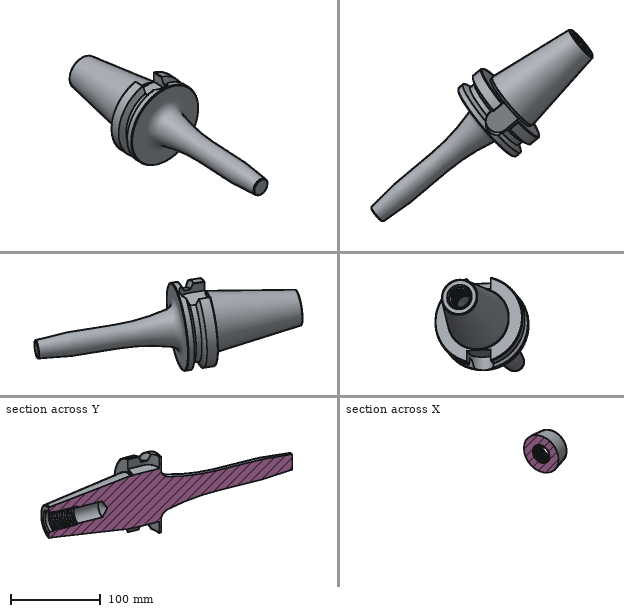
import cadquery as cq
import math

total_length = 301.8
edge_chamfer = 1.0

gauge_x = 100.8
gauge_radius = 35.0
neck_start_x = 102.0
neck_radius = 34.5
taper_ratio = 7 / 24
tail_radius = gauge_radius - gauge_x * taper_ratio / 2

flange_start_x = 104.7
flange_end_x = 139.7
flange_radius = 49.98
groove_start_x = 117.7
groove_end_x = 132.2
groove_depth = 7.8
groove_wall_run = 4.0
groove_radius = flange_radius - groove_depth

sweep_start_x = 148.5
sweep_start_radius = 21.5
stem_start_x = 209.5
stem_radius = 13.5
tip_start_x = 264.0
tip_radius = 10.5

slot_half_width = 13.5
slot_end_x = 137.0
slot_floor = 35.0
slot_rim_chamfer = 0.5

mouth_radius = 14.2
pilot_radius = 12.5
pilot_depth = 6.0
thread_radius = 12.0
thread_pitch = 3.0
thread_ring_count = 10
drill_radius = 10.3
drill_depth = 66.5
drill_point_half_angle = math.radians(59)


def arc_point(center, radius, angle):
    return (center[0] + radius * math.cos(angle), center[1] + radius * math.sin(angle))


def revolve_about_x(profile):
    return profile.close().revolve(360, (0, 0, 0), (1, 0, 0))


def make_body():
    sweep_run = stem_start_x - sweep_start_x
    sweep_drop = sweep_start_radius - stem_radius
    sweep_curve = (sweep_run**2 + sweep_drop**2) / (2 * sweep_drop)
    sweep_slope = math.asin(sweep_run / sweep_curve)
    sweep_center = (stem_start_x, stem_radius + sweep_curve)
    sweep_middle = arc_point(sweep_center, sweep_curve, -math.pi / 2 - sweep_slope / 2)

    fillet_curve = (sweep_start_x - flange_end_x) / (1 - math.sin(sweep_slope))
    fillet_center = (
        flange_end_x + fillet_curve,
        sweep_start_radius + fillet_curve * math.cos(sweep_slope),
    )
    fillet_middle_angle = -(1.5 * math.pi + sweep_slope) / 2
    fillet_middle = arc_point(fillet_center, fillet_curve, fillet_middle_angle)

    profile = (
        cq.Workplane("XY")
        .lineTo(0, tail_radius - edge_chamfer)
        .lineTo(edge_chamfer, tail_radius + edge_chamfer * taper_ratio / 2)
        .lineTo(gauge_x, gauge_radius)
        .lineTo(neck_start_x, gauge_radius)
        .lineTo(neck_start_x, neck_radius)
        .lineTo(flange_start_x, neck_radius)
        .lineTo(flange_start_x, flange_radius - edge_chamfer)
        .lineTo(flange_start_x + edge_chamfer, flange_radius)
        .lineTo(groove_start_x, flange_radius)
        .lineTo(groove_start_x + groove_wall_run, groove_radius)
        .lineTo(groove_end_x - groove_wall_run, groove_radius)
        .lineTo(groove_end_x, flange_radius)
        .lineTo(flange_end_x - edge_chamfer, flange_radius)
        .lineTo(flange_end_x, flange_radius - edge_chamfer)
        .lineTo(flange_end_x, fillet_center[1])
        .threePointArc(fillet_middle, (sweep_start_x, sweep_start_radius))
        .threePointArc(sweep_middle, (stem_start_x, stem_radius))
        .lineTo(tip_start_x, stem_radius)
        .lineTo(total_length - edge_chamfer, tip_radius)
        .lineTo(total_length, tip_radius - edge_chamfer)
        .lineTo(total_length, 0)
    )
    return revolve_about_x(profile)


def make_bore():
    mouth_run = mouth_radius - pilot_radius
    point_length = drill_radius / math.tan(drill_point_half_angle)
    profile = (
        cq.Workplane("XY")
        .lineTo(0, mouth_radius)
        .lineTo(mouth_run, pilot_radius)
        .lineTo(pilot_depth, pilot_radius)
        .lineTo(pilot_depth, drill_radius)
    )
    for ring in range(thread_ring_count):
        ring_x = pilot_depth + ring * thread_pitch
        profile = profile.lineTo(ring_x + thread_pitch / 2, thread_radius)
        profile = profile.lineTo(ring_x + thread_pitch, drill_radius)
    profile = profile.lineTo(drill_depth, drill_radius).lineTo(drill_depth + point_length, 0)
    return revolve_about_x(profile)


def make_top_slot():
    arc_center_x = slot_end_x - slot_half_width
    return (
        cq.Workplane("XY", origin=(0, 0, slot_floor))
        .moveTo(flange_start_x, -slot_half_width)
        .lineTo(arc_center_x, -slot_half_width)
        .threePointArc((slot_end_x, 0), (arc_center_x, slot_half_width))
        .lineTo(flange_start_x, slot_half_width)
        .close()
        .extrude(flange_radius)
    )


result = make_body().cut(make_bore())
for slot_angle in (0, 180):
    result = result.cut(make_top_slot().rotate((0, 0, 0), (1, 0, 0), slot_angle))

rim_height = math.sqrt(flange_radius**2 - slot_half_width**2)
for side in (-1, 1):
    for level in (-1, 1):
        low_corner = (flange_start_x, side * slot_half_width - 0.3, level * rim_height - 0.3)
        high_corner = (groove_start_x, side * slot_half_width + 0.3, level * rim_height + 0.3)
        rim = result.edges("|X").edges(cq.selectors.BoxSelector(low_corner, high_corner))
        result = rim.chamfer(slot_rim_chamfer)